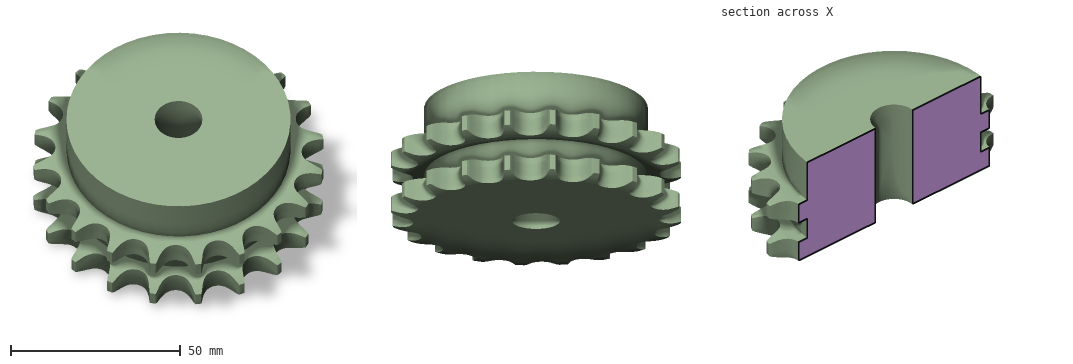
import cadquery as cq
import math


overall_width = 85.0
overall_height = 35.0
hub_diameter = 66.0
bore_diameter = 14.0
tooth_count = 20
pitch_radius = 40.55
roller_diameter = 8.5
seat_clearance = 0.08
tip_thickness = 4.5
side_radius = 13.0

rim_thickness = overall_height / 5
rim_bottoms = (0, 2 * rim_thickness)
tooth_angle = 360 / tooth_count

seat_radius = (1.005 * roller_diameter + seat_clearance) / 2
work_center_distance = 0.8 * roller_diameter
top_center_distance = 1.4 * roller_diameter
work_radius = work_center_distance + seat_radius
seat_angle = math.radians(35 + 60 / tooth_count)
work_angle = math.radians(18 - 56 / tooth_count)
flat_angle = math.radians(17 - 64 / tooth_count)
flat_length = top_center_distance * math.sin(flat_angle) - work_center_distance * math.sin(work_angle)
top_radius = (
    work_center_distance * math.cos(work_angle)
    + top_center_distance * math.cos(flat_angle)
    - work_radius
)


def offset(point, distance, angle):
    """Point at a distance and angle from another point."""
    return (point[0] + distance * math.cos(angle), point[1] + distance * math.sin(angle))


seat_center = (pitch_radius, 0)
seat_bottom = (pitch_radius - seat_radius, 0)
seat_end_angle = math.pi / 2 + seat_angle
flat_normal = seat_end_angle - work_angle
seat_end = offset(seat_center, seat_radius, seat_end_angle)
work_center = offset(seat_center, -work_center_distance, seat_end_angle)
work_middle = offset(work_center, work_radius, seat_end_angle - work_angle / 2)
work_end = offset(work_center, work_radius, flat_normal)
flat_end = offset(work_end, flat_length, flat_normal - math.pi / 2)

top_center = offset(flat_end, top_radius, flat_normal)
top_start_angle = flat_normal - math.pi
corner_x = overall_width / 2
corner_angle = -math.acos((corner_x - top_center[0]) / top_radius)
corner = offset(top_center, top_radius, corner_angle)
top_middle = offset(top_center, top_radius, (top_start_angle + corner_angle) / 2)
tip_radius = math.hypot(*corner)


def place(point, gap, side=1):
    """Point of gap 0 turned to another gap, on its +Y (1) or -Y (-1) side."""
    turn = math.radians(gap * tooth_angle)
    x, y = point[0], side * point[1]
    return (
        x * math.cos(turn) - y * math.sin(turn),
        x * math.sin(turn) + y * math.cos(turn),
    )


def tooth_outline():
    """Closed outline of all teeth, going counter-clockwise gap by gap."""
    tip_middle = offset((0, 0), tip_radius, math.radians(tooth_angle / 2))
    outline = cq.Workplane("XY").moveTo(*place(corner, 0, -1))
    for gap in range(tooth_count):
        outline = (
            outline.threePointArc(place(top_middle, gap, -1), place(flat_end, gap, -1))
            .lineTo(*place(work_end, gap, -1))
            .threePointArc(place(work_middle, gap, -1), place(seat_end, gap, -1))
            .threePointArc(place(seat_bottom, gap), place(seat_end, gap))
            .threePointArc(place(work_middle, gap), place(work_end, gap))
            .lineTo(*place(flat_end, gap))
            .threePointArc(place(top_middle, gap), place(corner, gap))
            .threePointArc(place(tip_middle, gap), place(corner, gap + 1, -1))
        )
    return outline.close()


def rim_blank():
    """Round disc whose faces curve in towards the tooth tips, tangent to the flat faces."""
    relief_depth = (rim_thickness - tip_thickness) / 2
    relief_angle = math.acos(1 - relief_depth / side_radius)
    flat_radius = tip_radius - side_radius * math.sin(relief_angle)
    mid_radius = flat_radius + side_radius * math.sin(relief_angle / 2)
    mid_depth = side_radius * (1 - math.cos(relief_angle / 2))
    return (
        cq.Workplane("XZ")
        .lineTo(flat_radius, 0)
        .threePointArc((mid_radius, mid_depth), (tip_radius, relief_depth))
        .lineTo(tip_radius, rim_thickness - relief_depth)
        .threePointArc((mid_radius, rim_thickness - mid_depth), (flat_radius, rim_thickness))
        .lineTo(0, rim_thickness)
        .close()
        .revolve(360, (0, 0, 0), (0, 1, 0))
    )


rim = tooth_outline().extrude(rim_thickness).intersect(rim_blank())
result = cq.Workplane("XY").circle(hub_diameter / 2).extrude(overall_height)
for rim_bottom in rim_bottoms:
    result = result.union(rim.translate((0, 0, rim_bottom)))

bore = cq.Workplane("XY").circle(bore_diameter / 2).extrude(overall_height)
result = result.cut(bore)